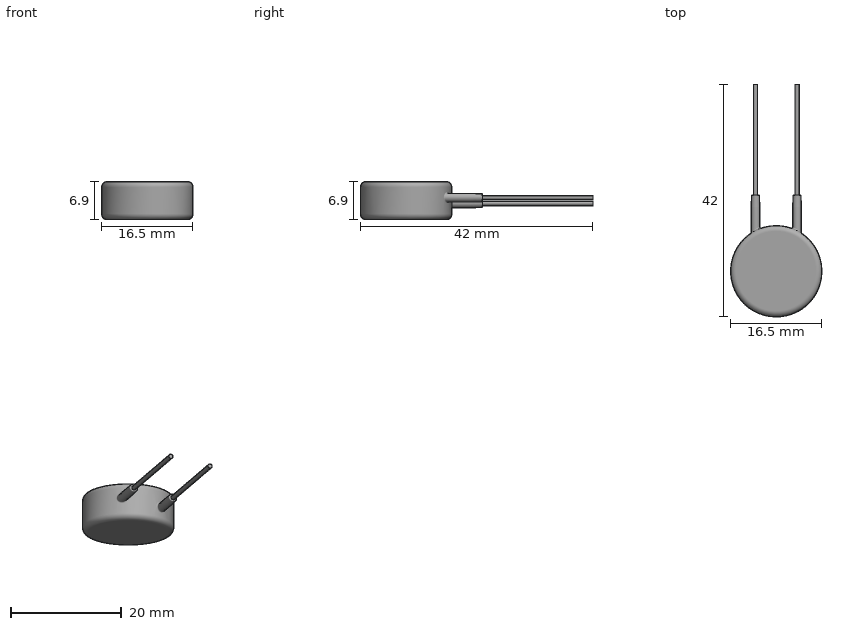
import cadquery as cq

body_diameter = 16.5
body_height = 6.9
rim_radius = 1.0

lead_spacing = 7.5
lead_stagger = 1.05
overall_length = 42.0

wire_diameter = 0.8
wire_exposed_length = 20.0
sleeve_diameter = 1.6
sleeve_tip_diameter = 1.45
sleeve_taper_length = 2.2
sleeve_tip_rounding = 0.15
sleeve_root_fillet = 0.2

body_radius = body_diameter / 2
wire_tip_y = overall_length - body_radius
sleeve_tip_y = wire_tip_y - wire_exposed_length
taper_start_y = sleeve_tip_y - sleeve_taper_length
lead_root_y = body_radius / 2

lead_axes = [(side * lead_spacing / 2, side * lead_stagger / 2) for side in (-1, 1)]


def make_body():
    """Disc with rounded top and bottom rims."""
    disc = cq.Workplane("XY").workplane(offset=-body_height / 2).circle(body_radius).extrude(body_height)
    return disc.edges("%CIRCLE").fillet(rim_radius)


def section_plane(x, y, z):
    """Workplane across a lead, facing +Y."""
    return cq.Workplane(cq.Plane(origin=(x, y, z), xDir=(1, 0, 0), normal=(0, 1, 0)))


def round_bar(x, z, start_y, end_y, diameter):
    """Straight bar along Y."""
    return section_plane(x, start_y, z).circle(diameter / 2).extrude(end_y - start_y)


def tapered_sleeve_end(x, z):
    """Outer part of the sleeve, narrowing to a rounded tip."""
    taper = (
        section_plane(x, taper_start_y, z)
        .circle(sleeve_diameter / 2)
        .workplane(offset=sleeve_taper_length)
        .circle(sleeve_tip_diameter / 2)
        .loft()
    )
    return taper.faces(">Y").edges().fillet(sleeve_tip_rounding)


def add_sleeve_roots(body):
    """Straight part of both sleeves, blended into the side of the body."""
    for x, z in lead_axes:
        body = body.union(round_bar(x, z, lead_root_y, taper_start_y, sleeve_diameter))
    joint_zone = cq.selectors.BoxSelector(
        (-body_radius, lead_root_y, -body_height / 2),
        (body_radius, body_radius, body_height / 2),
    )
    joints = body.edges(joint_zone).edges("not(%LINE or %CIRCLE)")
    return joints.fillet(sleeve_root_fillet)


result = add_sleeve_roots(make_body())
for lead_x, lead_z in lead_axes:
    result = result.union(tapered_sleeve_end(lead_x, lead_z))
    result = result.union(round_bar(lead_x, lead_z, taper_start_y, wire_tip_y, wire_diameter))